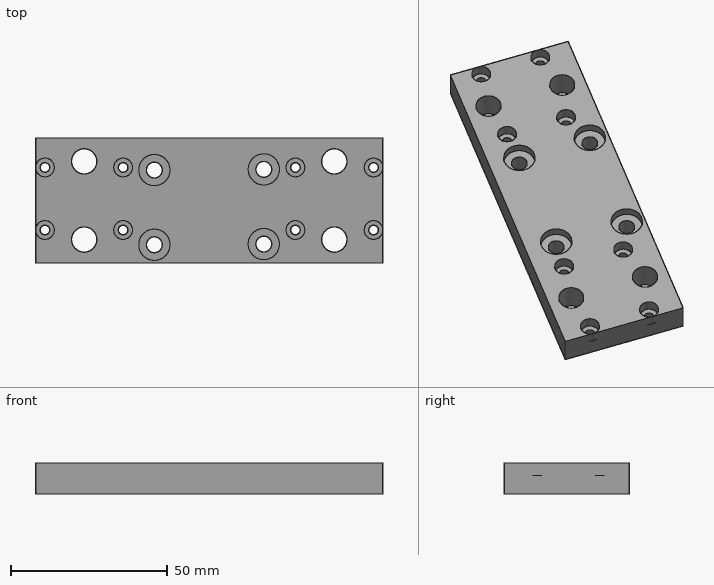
import cadquery as cq

length = 111.2
width = 40
thickness = 10

through_diameter = 8.0
through_x = 15.6
through_spacing_y = 25.0

small_hole_diameter = 3.0
small_bore_diameter = 6.0
small_bore_depth = 4.0
small_spacing_x = 25.0
small_spacing_y = 20
small_center_y = 20.6

large_hole_diameter = 5.0
large_bore_diameter = 10
large_bore_depth = 3.0
large_left_x = 38.0
large_spacing_x = 35.0
large_spacing_y = 23.9
large_left_center_y = 17.8
large_right_center_y = 18.0


def pair_in_y(x, center_y, spacing):
    """Two points at the same X, spread evenly about center_y."""
    return [(x, center_y - spacing / 2), (x, center_y + spacing / 2)]


small_outer_x = small_bore_diameter / 2
small_inner_x = small_outer_x + small_spacing_x

through_points = []
for x in (through_x, length - through_x):
    through_points += pair_in_y(x, width / 2, through_spacing_y)

small_points = []
for x in (small_outer_x, small_inner_x, length - small_inner_x, length - small_outer_x):
    small_points += pair_in_y(x, small_center_y, small_spacing_y)

large_points = pair_in_y(large_left_x, large_left_center_y, large_spacing_y)
large_points += pair_in_y(large_left_x + large_spacing_x, large_right_center_y, large_spacing_y)

plate = cq.Workplane("XY").box(length, width, thickness, centered=False)
top_plane = cq.Workplane("XY", origin=(0, 0, thickness))


def drill(points, diameter, depth):
    """Cylinders reaching down from the top face."""
    return top_plane.pushPoints(points).circle(diameter / 2).extrude(-depth)


result = (
    plate
    .cut(drill(through_points, through_diameter, thickness))
    .cut(drill(small_points, small_hole_diameter, thickness))
    .cut(drill(small_points, small_bore_diameter, small_bore_depth))
    .cut(drill(large_points, large_hole_diameter, thickness))
    .cut(drill(large_points, large_bore_diameter, large_bore_depth))
)